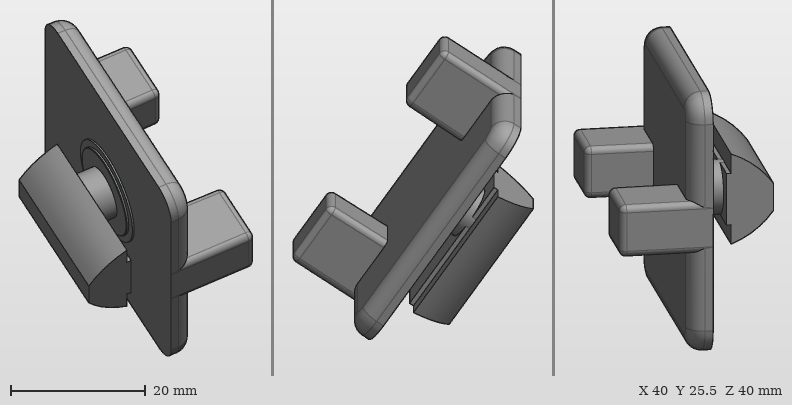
import cadquery as cq
import math

plate_side = 40.0
plate_thickness = 3.7
plate_corner_radius = 4.0
plate_edge_radius = 2.5
plate_draft = 1.0

prong_reach = 14.0
prong_tip_width = 10.3
prong_height = 7.95
prong_edge_radius = 1.0
prong_draft = 0.8

collar_radius = 8.25
collar_thickness = 0.3
collar_step_radius = 7.1
collar_reach = 0.7
collar_rim_chamfer = 0.1

shaft_radius = 4.1
knob_length = 22.1
knob_left = -6.5
knob_back = 5.1
knob_reach = 11.5
knob_height = 14.0
knob_front_height = 4.2
knob_side_bulge = 0.6
knob_pad_height = 8.0
knob_pad_thickness = 0.7


def make_plate():
    """Rounded square plate with its back rim rounded over."""
    plate = (
        cq.Workplane("XZ")
        .sketch()
        .rect(plate_side, plate_side)
        .vertices()
        .fillet(plate_corner_radius)
        .finalize()
        .extrude(-plate_thickness, taper=plate_draft)
    )
    return plate.faces(">Y").edges().fillet(plate_edge_radius)


def make_prong():
    """Right-hand prong, its inner side widening toward the plate."""
    outer_x = plate_side / 2
    tip_inner_x = outer_x - prong_tip_width
    root_inner_x = tip_inner_x - prong_reach * math.tan(math.radians(prong_draft))
    prong = (
        cq.Workplane("XY")
        .polyline([
            (outer_x, 0),
            (outer_x, prong_reach),
            (tip_inner_x, prong_reach),
            (root_inner_x, 0),
        ])
        .close()
        .extrude(prong_height / 2, both=True)
    )
    return prong.edges("not <Y").fillet(prong_edge_radius)


def make_disc(radius, reach):
    """Round disc from the plate front face out to the given reach."""
    return cq.Workplane("XZ").circle(radius).extrude(reach)


def make_collar():
    """Flat disc carrying a smaller disc whose front rim is chamfered."""
    base = make_disc(collar_radius, collar_thickness)
    step = make_disc(collar_step_radius, collar_reach)
    return base.union(step.faces("<Y").chamfer(collar_rim_chamfer))


def make_knob():
    """Bullet-shaped bar along X with a narrower pad on its back."""
    half_back = knob_height / 2
    half_front = knob_front_height / 2
    depth = knob_reach - knob_back
    drop = half_back - half_front
    chord = math.hypot(depth, drop)
    bulge_y = -(knob_back + knob_reach) / 2 - knob_side_bulge * drop / chord
    bulge_z = (half_back + half_front) / 2 + knob_side_bulge * depth / chord
    bar = (
        cq.Workplane("YZ", origin=(knob_left, 0, 0))
        .moveTo(-knob_back, -half_back)
        .lineTo(-knob_back, half_back)
        .threePointArc((bulge_y, bulge_z), (-knob_reach, half_front))
        .lineTo(-knob_reach, -half_front)
        .threePointArc((bulge_y, -bulge_z), (-knob_back, -half_back))
        .close()
        .extrude(knob_length)
    )
    pad = (
        cq.Workplane("YZ", origin=(knob_left, 0, 0))
        .center(-knob_back + knob_pad_thickness / 2, 0)
        .rect(knob_pad_thickness, knob_pad_height)
        .extrude(knob_length)
    )
    return bar.union(pad)


right_prong = make_prong()
result = (
    make_plate()
    .union(right_prong)
    .union(right_prong.mirror("YZ"))
    .union(make_collar())
    .union(make_disc(shaft_radius, knob_back))
    .union(make_knob())
)